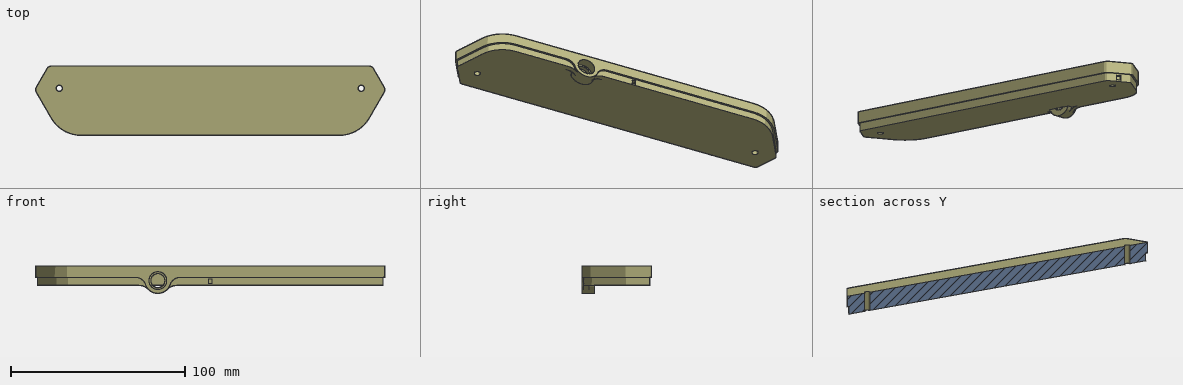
import cadquery as cq
import math

LENGTH = 200.7
DEPTH = 40.0
SLANT = math.radians(60)
FRONT_RADIUS = 20.0
REAR_RADIUS = 3.0
TIP_RADIUS = 3.0
TIP_Y = 26.3

STEP_Z = -6.6
BASE_Z = -11.2
BASE_INSET = 1.0

LUG_X = -30.0
LUG_Z = -8.5
LUG_RADIUS = 7.5
LUG_DEPTH = 7.2
TONGUE_FLARE_RADIUS = 6.0
BASE_FLARE_RADIUS = 8.0
FLARE_END_Y = 4.0
BORE_DIAMETER = 8.0
COUNTERBORE_DIAMETER = 10.2
COUNTERBORE_DEPTH = 5.0

SCREW_DIAMETER = 3.5
SCREW_X = 86.7
SCREW_Y = 27.0
PORT_HEIGHT = 2.6
FRONT_PORT_WIDTH = 2.0
SLANT_PORT_WIDTH = 2.8
PORT_DEPTH = 2.5
PORT_Z = (STEP_Z + BASE_Z) / 2

TIP_X = LENGTH / 2 + TIP_RADIUS * (1 / math.sin(SLANT) - 1)
FRONT_X = TIP_X - TIP_Y / math.tan(SLANT)
REAR_X = TIP_X - (DEPTH - TIP_Y) / math.tan(SLANT)


def cover_plate():
    """Six-sided plate with rounded corners."""
    corners = [
        (-FRONT_X, 0),
        (FRONT_X, 0),
        (TIP_X, TIP_Y),
        (REAR_X, DEPTH),
        (-REAR_X, DEPTH),
        (-TIP_X, TIP_Y),
    ]
    plate = cq.Workplane("XY").polyline(corners).close().extrude(STEP_Z)
    plate = plate.edges("|Z and <Y").fillet(FRONT_RADIUS)
    plate = plate.edges("|Z and >Y").fillet(REAR_RADIUS)
    plate = plate.edges("|Z and <X").fillet(TIP_RADIUS)
    return plate.edges("|Z and >X").fillet(TIP_RADIUS)


def base_plate(cover):
    """Lower layer, set in from the cover all round."""
    outline = cover.faces("<Z").wires().toPending().offset2D(-BASE_INSET)
    return outline.extrude(BASE_Z - STEP_Z, combine=False)


def xz_plane(y):
    """Sketch plane facing the front at depth y; negative extrusions run rearwards."""
    return cq.Workplane("XZ", origin=(LUG_X, y, 0))


def flared_lug(root_z, flare_radius, start_y, end_y):
    """Lug section hanging from root_z, blended into that level by an arc on each side."""
    flare_z = root_z - flare_radius
    reach = LUG_RADIUS + flare_radius
    root_x = math.sqrt(reach**2 - (flare_z - LUG_Z) ** 2)
    tangent_x = root_x * LUG_RADIUS / reach
    tangent_z = LUG_Z + (flare_z - LUG_Z) * LUG_RADIUS / reach
    turn = math.atan2(tangent_z - flare_z, tangent_x - root_x)
    middle = (turn + math.pi / 2) / 2
    middle_x = root_x + flare_radius * math.cos(middle)
    middle_z = flare_z + flare_radius * math.sin(middle)
    return (
        xz_plane(start_y)
        .moveTo(-root_x, root_z)
        .threePointArc((-middle_x, middle_z), (-tangent_x, tangent_z))
        .threePointArc((0, LUG_Z - LUG_RADIUS), (tangent_x, tangent_z))
        .threePointArc((middle_x, middle_z), (root_x, root_z))
        .close()
        .extrude(start_y - end_y)
    )


def round_lug():
    """Plain cylinder, trimmed to the part below the cover."""
    cylinder = xz_plane(0).center(0, LUG_Z).circle(LUG_RADIUS).extrude(-LUG_DEPTH)
    above_step = xz_plane(0).rect(4 * LUG_RADIUS, -2 * STEP_Z).extrude(-LUG_DEPTH)
    return cylinder.cut(above_step)


def stepped_bore():
    """Cutter: bore through the length of the lug, with a wider mouth at the front."""
    bore = xz_plane(0).center(0, LUG_Z).circle(BORE_DIAMETER / 2).extrude(-LUG_DEPTH)
    mouth = xz_plane(0).center(0, LUG_Z).circle(COUNTERBORE_DIAMETER / 2).extrude(-COUNTERBORE_DEPTH)
    return bore.union(mouth)


def port(x, y, normal, width):
    """Small blind rectangular pocket entering the base wall at (x, y) against its outward normal."""
    wall = cq.Plane(origin=(x, y, PORT_Z), xDir=(-normal[1], normal[0], 0), normal=(normal[0], normal[1], 0))
    return cq.Workplane(wall).rect(width, PORT_HEIGHT).extrude(-PORT_DEPTH)


cover = cover_plate()
result = cover.union(base_plate(cover))

result = result.union(flared_lug(STEP_Z, TONGUE_FLARE_RADIUS, 0, BASE_INSET))
result = result.union(flared_lug(BASE_Z, BASE_FLARE_RADIUS, BASE_INSET, FLARE_END_Y))
result = result.union(round_lug())
result = result.cut(stepped_bore())

screws = cq.Workplane("XY").pushPoints([(-SCREW_X, SCREW_Y), (SCREW_X, SCREW_Y)])
result = result.cut(screws.circle(SCREW_DIAMETER / 2).extrude(BASE_Z))

result = result.cut(port(0, BASE_INSET, (0, -1), FRONT_PORT_WIDTH))

slant_normal = (-math.sin(SLANT), math.cos(SLANT))
slant_x = -(TIP_X + REAR_X) / 2 - BASE_INSET * slant_normal[0]
slant_y = (TIP_Y + DEPTH) / 2 - BASE_INSET * slant_normal[1]
result = result.cut(port(slant_x, slant_y, slant_normal, SLANT_PORT_WIDTH))